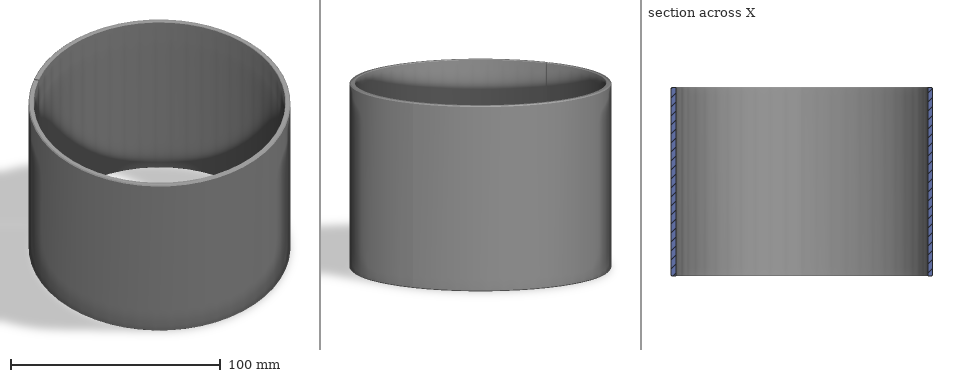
import cadquery as cq

outer_diameter = 125.0
wall = 2.5
height = 90.0
outer_chamfer = 0.5
inner_chamfer = 0.2
slit_width = 1.0

outer_radius = outer_diameter / 2
inner_radius = outer_radius - wall


def chamfered_tube():
    """Thin tube centred on the origin, chamfered around all four rims."""
    body = cq.Workplane("XY").cylinder(height, outer_radius)
    body = body.faces("<Z or >Z").edges().chamfer(outer_chamfer)
    body = body.cut(cq.Workplane("XY").cylinder(height, inner_radius))
    bore_rims = body.edges(cq.selectors.RadiusNthSelector(0))
    return bore_rims.chamfer(inner_chamfer)


def slit():
    """Full-height cutter through the -X wall, with one face on the XZ plane."""
    cutter = cq.Workplane("XY").box(outer_radius, slit_width, height)
    return cutter.translate((-outer_radius, slit_width / 2, 0))


result = chamfered_tube().cut(slit())